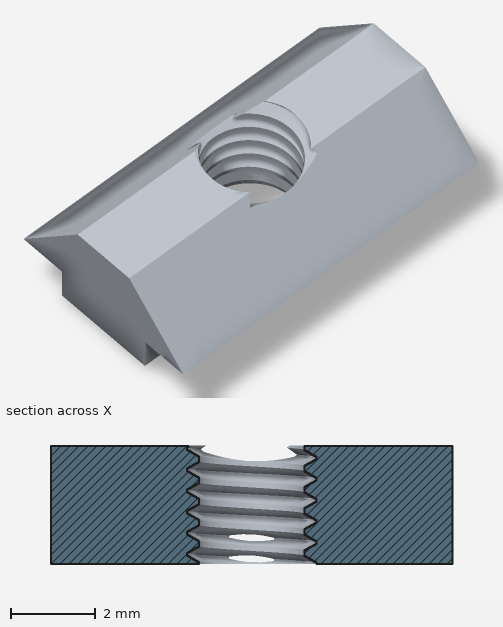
import cadquery as cq
import math

length = 9.5
flange_width = 5.6
height = 2.8
stem_width = 2.9
stem_height = 0.9
bevel_angle = 45.0

pitch = 0.5
minor_diameter = 2.53
major_diameter = 3.09
flank_angle = 30.0
root_flat = pitch / 10
groove_height = 0.375
bore_overlap = 0.05
turns_below = 2
turns = math.ceil((height - groove_height) / pitch) + turns_below + 1


def make_body():
    """Bevelled flange on a narrower stem, centred on X and Y with its base at Z = 0."""
    half_flange = flange_width / 2
    half_stem = stem_width / 2
    bevel_run = (height - stem_height) / math.tan(math.radians(bevel_angle))
    half_top = half_flange - bevel_run
    outline = [
        (-half_stem, 0),
        (half_stem, 0),
        (half_stem, stem_height),
        (half_flange, stem_height),
        (half_top, height),
        (-half_top, height),
        (-half_flange, stem_height),
        (-half_stem, stem_height),
    ]
    return cq.Workplane("XZ").polyline(outline).close().extrude(length / 2, both=True)


def make_bore():
    """Cylinder of the thread's minor diameter, through the full height."""
    return cq.Workplane("XY").circle(minor_diameter / 2).extrude(height)


def make_thread_groove():
    """Helical groove with a trapezoidal section, running out past both ends of the bore."""
    major_radius = major_diameter / 2
    inner_radius = minor_diameter / 2 - bore_overlap
    half_root = root_flat / 2
    half_mouth = half_root + (major_radius - inner_radius) * math.tan(math.radians(flank_angle))
    section = [
        (inner_radius, -half_mouth),
        (major_radius, -half_root),
        (major_radius, half_root),
        (inner_radius, half_mouth),
    ]
    helix = cq.Workplane(cq.Wire.makeHelix(pitch, turns * pitch, major_radius))
    groove = cq.Workplane("XZ").polyline(section).close().sweep(helix, isFrenet=True)
    start_height = groove_height - turns_below * pitch
    return groove.rotate((0, 0, 0), (0, 0, 1), 180).translate((0, 0, start_height))


result = make_body().cut(make_bore()).cut(make_thread_groove())